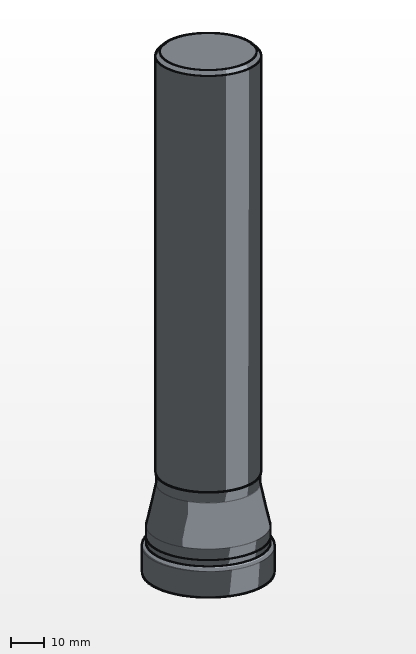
import cadquery as cq

total_length = 170.0

flange_diameter = 40.1
flange_height = 9.9
flange_top_round = 1.2
flange_bottom_round = 0.5
collar_diameter = 37.5
head_height = 11.9

flare_bottom = 15.5
flare_top = 29.2
neck_diameter = 31.5
neck_top = 32.6
shank_diameter = 32.0
shank_lower_chamfer = (shank_diameter - neck_diameter) / 2
shank_upper_chamfer = 1.4

flange_radius = flange_diameter / 2
collar_radius = collar_diameter / 2
neck_radius = neck_diameter / 2
shank_radius = shank_diameter / 2


def make_head():
    """Flange whose top rim rounds over towards the collar, with the lower part of the collar above it."""
    flange = cq.Workplane("XY").circle(flange_radius).extrude(flange_height)
    flange = flange.faces(">Z").edges().fillet(flange_top_round)
    flange = flange.faces("<Z").edges().fillet(flange_bottom_round)
    collar = cq.Workplane("XY").circle(collar_radius).extrude(head_height)
    return flange.union(collar)


def make_holder():
    """Collar, flare, neck and chamfered shank revolved about Z."""
    return (
        cq.Workplane("XZ")
        .moveTo(0, head_height)
        .lineTo(collar_radius, head_height)
        .lineTo(collar_radius, flare_bottom)
        .lineTo(neck_radius, flare_top)
        .lineTo(neck_radius, neck_top)
        .lineTo(shank_radius, neck_top + shank_lower_chamfer)
        .lineTo(shank_radius, total_length - shank_upper_chamfer)
        .lineTo(shank_radius - shank_upper_chamfer, total_length)
        .lineTo(0, total_length)
        .close()
        .revolve(360, (0, 0, 0), (0, 1, 0))
    )


head = make_head()
holder = make_holder()

result = cq.Compound.makeCompound([head.val(), holder.val()])